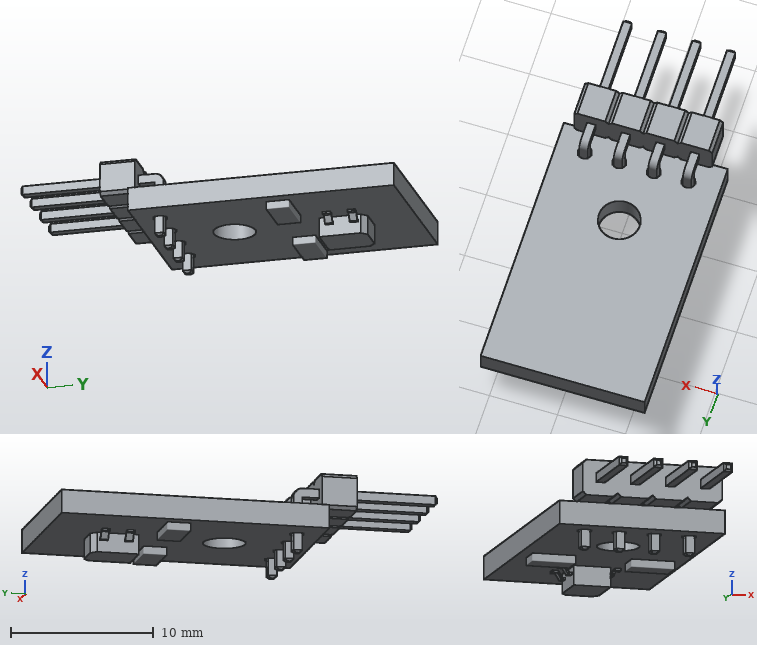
import cadquery as cq
import math


BOARD_WIDTH = 12.05
BOARD_LENGTH = 19.28
BOARD_THICKNESS = 1.68
MOUNT_HOLE_DIAMETER = 3.0
MOUNT_HOLE_Y = 6.15

PIN_COUNT = 4
HOUSING_LENGTH = 10.15
PIN_PITCH = HOUSING_LENGTH / PIN_COUNT
PIN_WIDTH = 0.63
PIN_TIP_CHAMFER = 0.16
PIN_BEND_RADIUS = PIN_WIDTH
PIN_ROW_Y = 1.8
PIN_HOLE_DIAMETER = 1.0
PIN_FRONT_REACH = 8.25
PIN_TAIL_DROP = 1.35
HEADER_X = 0.1
HOUSING_SIZE = 2.53
HOUSING_BACK_Y = 0.28
HOUSING_CHAMFER = 0.25

SENSOR_X = -0.03
SENSOR_WIDTH = 2.67
SENSOR_LENGTH = 3.41
SENSOR_FRONT_Y = 12.6
SENSOR_GAP = 0.08
SENSOR_DEPTH = 1.5
SENSOR_CHAMFER = 0.4
LEAD_WIDTH = 0.55
LEAD_THICKNESS = 0.15
LEAD_PITCH = 1.8
LEAD_CENTRE_Y = 14.27
LEAD_SHOULDER_LENGTH = 0.2
LEAD_SLOPE_RUN = 0.3
LEAD_FOOT_LENGTH = 0.4
LEAD_DROP = 0.5

CHIP_LENGTH = 3.17
CHIP_WIDTH = 1.68
CHIP_HEIGHT = 0.58
CHIP_FILLET = 0.05
CHIP_X = 3.6
CHIP_Y = 10.63

BOARD_BOTTOM_Z = -BOARD_THICKNESS
PIN_AXIS_Z = HOUSING_SIZE / 2
PIN_XS = [HEADER_X + (i - (PIN_COUNT - 1) / 2) * PIN_PITCH for i in range(PIN_COUNT)]


def make_board():
    """Plate with one mounting hole and a row of pin holes."""
    plate = cq.Workplane("XY").box(BOARD_WIDTH, BOARD_LENGTH, BOARD_THICKNESS, centered=(True, False, False))
    plate = plate.translate((0, 0, BOARD_BOTTOM_Z))
    mount_hole = (
        cq.Workplane("XY").center(0, MOUNT_HOLE_Y).circle(MOUNT_HOLE_DIAMETER / 2).extrude(BOARD_BOTTOM_Z)
    )
    pin_holes = (
        cq.Workplane("XY")
        .pushPoints([(x, PIN_ROW_Y) for x in PIN_XS])
        .circle(PIN_HOLE_DIAMETER / 2)
        .extrude(BOARD_BOTTOM_Z)
    )
    return plate.cut(mount_hole).cut(pin_holes)


def make_pin(x):
    """Square pin bent from the board hole toward -Y, with tapered ends."""
    half = PIN_WIDTH / 2
    back_y = PIN_ROW_Y + half
    inner_y = PIN_ROW_Y - half
    top_z = PIN_AXIS_Z + half
    inner_z = PIN_AXIS_Z - half
    tail_z = BOARD_BOTTOM_Z - PIN_TAIL_DROP
    pin = (
        cq.Workplane("YZ")
        .moveTo(-PIN_FRONT_REACH, top_z)
        .lineTo(back_y - PIN_BEND_RADIUS, top_z)
        .radiusArc((back_y, top_z - PIN_BEND_RADIUS), PIN_BEND_RADIUS)
        .lineTo(back_y, tail_z)
        .lineTo(inner_y, tail_z)
        .lineTo(inner_y, inner_z)
        .lineTo(-PIN_FRONT_REACH, inner_z)
        .close()
        .extrude(half, both=True)
    )
    pin = pin.faces("<Y").chamfer(PIN_TIP_CHAMFER).faces("<Z").chamfer(PIN_TIP_CHAMFER)
    return pin.translate((x, 0, 0))


def make_housing_cell(x):
    """One block of the header housing, chamfered along its four long edges."""
    cell = cq.Workplane("XY").box(PIN_PITCH, HOUSING_SIZE, HOUSING_SIZE).edges("|Y").chamfer(HOUSING_CHAMFER)
    return cell.translate((x, HOUSING_BACK_Y - HOUSING_SIZE / 2, PIN_AXIS_Z))


def make_header():
    """Row of housing blocks with their moulded-in pins, as one body."""
    header = make_housing_cell(PIN_XS[0])
    for x in PIN_XS[1:]:
        header = header.union(make_housing_cell(x))
    for x in PIN_XS:
        header = header.union(make_pin(x))
    return header


def make_lead(y):
    """Gull-wing lead on the sensor's -X side, from the board to the body."""
    body_x = -SENSOR_WIDTH / 2
    shoulder_x = body_x - LEAD_SHOULDER_LENGTH
    knee_x = shoulder_x - LEAD_SLOPE_RUN
    foot_x = knee_x - LEAD_FOOT_LENGTH
    bend_shift = LEAD_THICKNESS * math.tan(math.atan2(LEAD_DROP, LEAD_SLOPE_RUN) / 2)
    return (
        cq.Workplane("XZ")
        .polyline(
            [
                (foot_x, 0),
                (knee_x, 0),
                (shoulder_x, -LEAD_DROP),
                (body_x, -LEAD_DROP),
                (body_x, -LEAD_DROP - LEAD_THICKNESS),
                (shoulder_x - bend_shift, -LEAD_DROP - LEAD_THICKNESS),
                (knee_x - bend_shift, -LEAD_THICKNESS),
                (foot_x, -LEAD_THICKNESS),
            ]
        )
        .close()
        .extrude(LEAD_WIDTH / 2, both=True)
        .translate((0, y, 0))
    )


def make_sensor():
    """Sensor block with its two rear edges chamfered and two leads on each side."""
    sensor = (
        cq.Workplane("XY")
        .box(SENSOR_WIDTH, SENSOR_LENGTH, SENSOR_DEPTH - SENSOR_GAP, centered=(True, False, False))
        .translate((0, SENSOR_FRONT_Y, -SENSOR_DEPTH))
        .faces(">Y")
        .edges("|Z")
        .chamfer(SENSOR_CHAMFER)
    )
    for side in (-1, 1):
        lead = make_lead(LEAD_CENTRE_Y + side * LEAD_PITCH / 2)
        sensor = sensor.union(lead).union(lead.mirror("YZ"))
    return sensor.translate((SENSOR_X, 0, BOARD_BOTTOM_Z))


def make_chip(x):
    """Rectangular chip component on the underside of the board."""
    chip = cq.Workplane("XY").box(CHIP_LENGTH, CHIP_WIDTH, CHIP_HEIGHT).edges().fillet(CHIP_FILLET)
    return chip.translate((x, CHIP_Y, BOARD_BOTTOM_Z - CHIP_HEIGHT / 2))


board = make_board()
header = make_header()
sensor = make_sensor()
chips = [make_chip(side * CHIP_X) for side in (-1, 1)]

result = cq.Compound.makeCompound(
    [board.val(), header.val(), sensor.val(), *[chip.val() for chip in chips]]
)